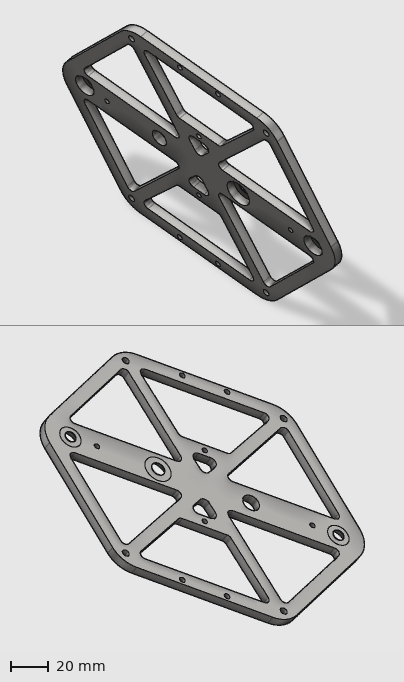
import cadquery as cq
import math

thickness = 5.5
length = 193.5
height = 150.0
corner_radius = 17.5
side_angle = math.radians(56.5)

half_height = height / 2
side_vertex_x = length / 2 + corner_radius * (1 / math.sin(side_angle) - 1)
top_vertex_x = side_vertex_x - half_height / math.tan(side_angle)

window_radius = 2.9
spine_half_width = 10.3
triangle_outer_x = 84.0
triangle_inner_x = 11.5
triangle_apex_x = 48.4
triangle_apex_z = 63.8

trapezoid_outer_z = 66.7
trapezoid_inner_z = 28.8
trapezoid_outer_x = 41.5
trapezoid_inner_x = 15.0

hub_window_radius = 3.3
hub_window_outer_z = 21.3
hub_window_point_z = 7.0
hub_window_half_width = 10.0

corner_hole_diameter = 4.0
corner_hole_x = 47.8
corner_hole_z = 67.7
rail_hole_diameter = 3.3
rail_hole_x = 13.5
rail_hole_z = 72.0
pilot_hole_diameter = 3.0
spine_pilot_x = 65.2
hub_pilot_z = 25.0
plain_hole_diameter = 10.0
bearing_x = 28.0

counterbore_depth = 5.0
hub_bore_diameter = 8.0
hub_counterbore_diameter = 15.9
end_bore_x = 81.0
end_bore_diameter = 6.5
end_counterbore_diameter = 13.0

SIDES = (-1, 1)
QUADRANTS = [(sx, sz) for sx in SIDES for sz in SIDES]


def prism(points, radius):
    """Plate-thick prism over a polygon of (x, z) points, with rounded corners."""
    block = cq.Workplane("XZ").polyline(points).close().extrude(thickness / 2, both=True)
    return block.edges("|Y").fillet(radius)


def holes(centers, diameter):
    """Through holes along Y at (x, z) centers."""
    plane = cq.Workplane("XZ").pushPoints(centers)
    return plane.circle(diameter / 2).extrude(thickness / 2, both=True)


def counterbored_hole(x, bore_diameter, counterbore_diameter):
    """Through hole on the X axis with a counterbore sunk into the -Y face."""
    front = cq.Workplane("XZ", origin=(x, -thickness / 2, 0))
    pocket = front.circle(counterbore_diameter / 2).extrude(-counterbore_depth)
    return holes([(x, 0)], bore_diameter).union(pocket)


plate = prism(
    [
        (side_vertex_x, 0),
        (top_vertex_x, half_height),
        (-top_vertex_x, half_height),
        (-side_vertex_x, 0),
        (-top_vertex_x, -half_height),
        (top_vertex_x, -half_height),
    ],
    corner_radius,
)

for sx, sz in QUADRANTS:
    triangle = [
        (sx * triangle_outer_x, sz * spine_half_width),
        (sx * triangle_inner_x, sz * spine_half_width),
        (sx * triangle_apex_x, sz * triangle_apex_z),
    ]
    plate = plate.cut(prism(triangle, window_radius))

for sz in SIDES:
    trapezoid = [
        (-trapezoid_outer_x, sz * trapezoid_outer_z),
        (trapezoid_outer_x, sz * trapezoid_outer_z),
        (trapezoid_inner_x, sz * trapezoid_inner_z),
        (-trapezoid_inner_x, sz * trapezoid_inner_z),
    ]
    hub_window = [
        (-hub_window_half_width, sz * hub_window_outer_z),
        (hub_window_half_width, sz * hub_window_outer_z),
        (0, sz * hub_window_point_z),
    ]
    plate = plate.cut(prism(trapezoid, window_radius))
    plate = plate.cut(prism(hub_window, hub_window_radius))

corner_centers = [(sx * corner_hole_x, sz * corner_hole_z) for sx, sz in QUADRANTS]
rail_centers = [(sx * rail_hole_x, sz * rail_hole_z) for sx, sz in QUADRANTS]
spine_pilot_centers = [(side * spine_pilot_x, 0) for side in SIDES]
hub_pilot_centers = [(0, side * hub_pilot_z) for side in SIDES]
plate = plate.cut(holes(corner_centers, corner_hole_diameter))
plate = plate.cut(holes(rail_centers, rail_hole_diameter))
plate = plate.cut(holes(spine_pilot_centers + hub_pilot_centers, pilot_hole_diameter))
plate = plate.cut(holes([(-bearing_x, 0)], plain_hole_diameter))

plate = plate.cut(counterbored_hole(bearing_x, hub_bore_diameter, hub_counterbore_diameter))
for side in SIDES:
    plate = plate.cut(
        counterbored_hole(side * end_bore_x, end_bore_diameter, end_counterbore_diameter)
    )

result = plate